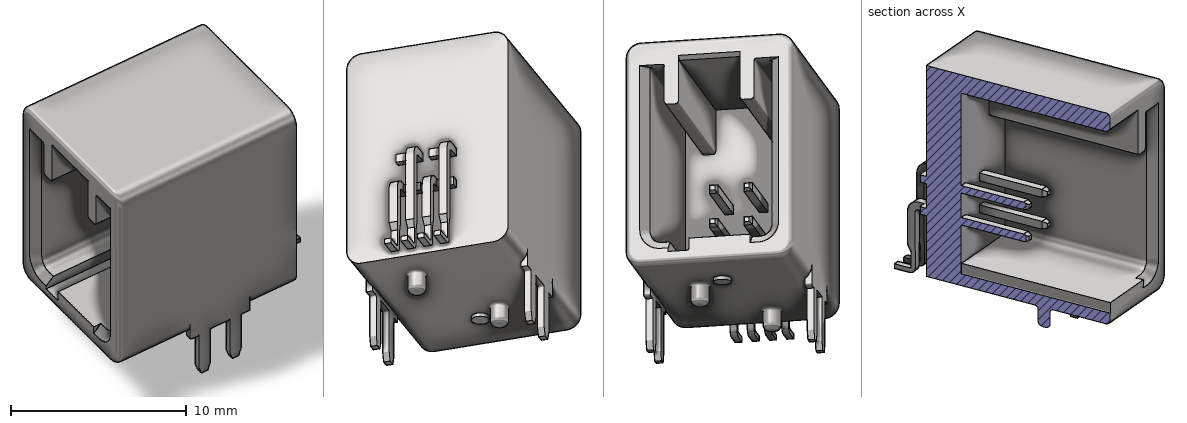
import cadquery as cq


OVERALL_HEIGHT = 16.6
OVERALL_DEPTH = 14.75

WIDTH = 9.8
DEPTH = 12.3
HEIGHT = 13.31
CORNER_RADIUS = 0.9
FRONT_ROUND = 0.3

CAVITY_WIDTH = 7.1
CAVITY_DEPTH = 9.96
FLOOR_Z = 1.41
CEILING_Z = 11.89
CAVITY_LOWER_RADIUS = 0.7
CAVITY_UPPER_RADIUS = 0.15
MOUTH_CHAMFER = 0.5
PLAIN_FLOOR_WIDTH = 4.78

RECESS_WIDTH = 3.59
RECESS_INNER_Z = 12.12
RECESS_LEAD = 0.23
RIB_WIDTH = 0.83
RIB_BOTTOM_Z = 9.48
RIB_TIP_RADIUS = 0.2
RIB_ROOT_RADIUS = 0.13

KEYWAY_WIDTH = 1.21
KEYWAY_LEFT = -PLAIN_FLOOR_WIDTH / 2
KEYWAY_Z = 0.7
KEYWAY_RADIUS = 0.13

PLATE_THICKNESS = 0.4
PLATE_FRONT_Y = 4.95
PLATE_BACK_Y = 9.06
PLATE_BOTTOM_Z = -0.17
PLATE_FRONT_STEP_Z = -0.28
PLATE_RADIUS = 0.1
LEG_CENTERS_Y = (5.95, 8.08)
LEG_WIDTH = 0.78
LEG_TIP_WIDTH = 0.45
LEG_TIP_LENGTH = 0.51
LEG_BOTTOM_Z = HEIGHT - OVERALL_HEIGHT

PEG_CENTERS = ((-1.5, 4.43), (1.5, 9.95))
PEG_DIAMETER = 1.03
PEG_LENGTH = 1.25
PEG_TIP_RADIUS = 0.3
PEG_ROOT_RADIUS = 0.17
PAD_CENTER = (0, 3.5)
PAD_DIAMETER = 1.03
PAD_HEIGHT = 0.22

PIN_PITCH = 2.01
PIN_SIZE = 0.5
PIN_ROWS_Z = (4.07, 6.08)
PIN_FRONT_Y = 5.48
PIN_TIP_SIZE = 0.27
PIN_TIP_LENGTH = 0.3
LEAD_OFFSET = PIN_PITCH / 4
WEB_WIDTH = PIN_PITCH / 2 + PIN_SIZE
WEB_LENGTH = 0.43
LEAD_BACK_Y = 13.85
BEND_INNER_RADIUS = 0.25
FOOT_THICKNESS = 0.3
FOOT_WIDTH = 0.4
FOOT_BOTTOM_Z = -0.3
FOOT_INNER_RADIUS = 0.1
TAPER_TOP_Z = 1.48
TAPER_BOTTOM_Z = 1.03


def box(x_range, y_range, z_range):
    """Block between two limits on each axis."""
    lows, highs = zip(x_range, y_range, z_range)
    sizes = [high - low for low, high in zip(lows, highs)]
    return cq.Workplane("XY").box(*sizes, centered=False).translate(lows)


def make_housing():
    """Outer block with rounded long edges and a rounded front rim."""
    half = WIDTH / 2
    block = box((-half, half), (0, DEPTH), (0, HEIGHT))
    return block.edges("|Y").fillet(CORNER_RADIUS).faces("<Y").edges().fillet(FRONT_ROUND)


def make_mouth():
    """Chamfered lead-in on the side walls and lower corners, left flat under the ceiling."""
    width = CAVITY_WIDTH + 2 * MOUTH_CHAMFER
    bottom = FLOOR_Z - MOUTH_CHAMFER
    top = CEILING_Z + CAVITY_LOWER_RADIUS + 2 * MOUTH_CHAMFER
    outline = (
        cq.Sketch()
        .rect(width, top - bottom)
        .vertices()
        .fillet(CAVITY_LOWER_RADIUS + MOUTH_CHAMFER)
    )
    center_z = (top + bottom) / 2
    mouth = cq.Workplane("XZ", origin=(0, 0, center_z)).placeSketch(outline)
    mouth = mouth.extrude(-MOUTH_CHAMFER, taper=45)
    depth_range = (0, MOUTH_CHAMFER)
    mouth = mouth.intersect(box((-width / 2, width / 2), depth_range, (bottom, CEILING_Z)))
    plain_half = PLAIN_FLOOR_WIDTH / 2
    return mouth.cut(box((-plain_half, plain_half), depth_range, (bottom, FLOOR_Z)))


def make_ribs():
    """Two ribs that flank the latch recess."""
    inner = RECESS_WIDTH / 2
    rib = box((inner, inner + RIB_WIDTH), (0, CAVITY_DEPTH), (RIB_BOTTOM_Z, CEILING_Z))
    rib = rib.edges("|Y and <Z").fillet(RIB_TIP_RADIUS)
    return rib.union(rib.mirror("YZ"))


def make_recess():
    """Latch recess above the ceiling, with a sloped lead-in at the mouth."""
    half = RECESS_WIDTH / 2
    profile = [
        (0, RIB_BOTTOM_Z),
        (0, RECESS_INNER_Z + RECESS_LEAD),
        (RECESS_LEAD, RECESS_INNER_Z),
        (CAVITY_DEPTH, RECESS_INNER_Z),
        (CAVITY_DEPTH, RIB_BOTTOM_Z),
    ]
    return cq.Workplane("YZ").polyline(profile).close().extrude(half, both=True)


def make_cavity():
    """All the space removed from the front of the housing."""
    half = CAVITY_WIDTH / 2
    cavity = box((-half, half), (0, CAVITY_DEPTH), (FLOOR_Z, CEILING_Z))
    cavity = cavity.edges("|Y and <Z").fillet(CAVITY_LOWER_RADIUS)
    cavity = cavity.edges("|Y and >Z").fillet(CAVITY_UPPER_RADIUS)
    cavity = cavity.union(make_mouth()).cut(make_ribs())
    rib_outer = RECESS_WIDTH / 2 + RIB_WIDTH
    for side in (-1, 1):
        root = cq.selectors.NearestToPointSelector((side * rib_outer, CAVITY_DEPTH / 2, CEILING_Z))
        cavity = cavity.edges(root).fillet(RIB_ROOT_RADIUS)
    keyway = box((KEYWAY_LEFT, KEYWAY_LEFT + KEYWAY_WIDTH), (0, CAVITY_DEPTH), (KEYWAY_Z, FLOOR_Z))
    keyway = keyway.edges("|Y and <Z and >X").fillet(KEYWAY_RADIUS)
    return cavity.union(make_recess()).union(keyway)


def make_leg_plate(x_start):
    """Side plate with two tapered legs."""
    plate = box(
        (x_start, x_start + PLATE_THICKNESS),
        (PLATE_FRONT_Y, PLATE_BACK_Y),
        (PLATE_BOTTOM_Z, CORNER_RADIUS),
    )
    step = box(
        (x_start, x_start + PLATE_THICKNESS),
        (PLATE_FRONT_Y, LEG_CENTERS_Y[0]),
        (PLATE_FRONT_STEP_Z, PLATE_BOTTOM_Z),
    )
    plate = plate.union(step)
    taper_z = LEG_BOTTOM_Z + LEG_TIP_LENGTH
    for center in LEG_CENTERS_Y:
        outline = [
            (center - LEG_WIDTH / 2, PLATE_BOTTOM_Z),
            (center - LEG_WIDTH / 2, taper_z),
            (center - LEG_TIP_WIDTH / 2, LEG_BOTTOM_Z),
            (center + LEG_TIP_WIDTH / 2, LEG_BOTTOM_Z),
            (center + LEG_WIDTH / 2, taper_z),
            (center + LEG_WIDTH / 2, PLATE_BOTTOM_Z),
        ]
        leg = cq.Workplane("YZ", origin=(x_start, 0, 0)).polyline(outline).close().extrude(PLATE_THICKNESS)
        plate = plate.union(leg)

    rounded_corners = [(PLATE_FRONT_Y, PLATE_FRONT_STEP_Z)]
    rounded_corners += [(center + LEG_WIDTH / 2, PLATE_BOTTOM_Z) for center in LEG_CENTERS_Y]
    for y, z in rounded_corners:
        corner = cq.selectors.NearestToPointSelector((x_start + PLATE_THICKNESS / 2, y, z))
        plate = plate.edges("|X").edges(corner).fillet(PLATE_RADIUS)
    return plate


def make_peg(x, y):
    """Round-tipped locating peg with a filleted root."""
    radius = PEG_DIAMETER / 2
    diagonal = 0.5 ** 0.5
    root = PEG_ROOT_RADIUS
    tip = PEG_TIP_RADIUS
    profile = (
        cq.Workplane("XZ")
        .moveTo(0, root)
        .lineTo(radius + root, root)
        .lineTo(radius + root, 0)
        .threePointArc((radius + root * (1 - diagonal), -root * (1 - diagonal)), (radius, -root))
        .lineTo(radius, tip - PEG_LENGTH)
        .threePointArc(
            (radius - tip * (1 - diagonal), tip * (1 - diagonal) - PEG_LENGTH),
            (radius - tip, -PEG_LENGTH),
        )
        .lineTo(0, -PEG_LENGTH)
        .close()
    )
    return profile.revolve(360, (0, 0), (0, 1)).translate((x, y, 0))


def make_lead(center_x, row_z):
    """Right-angle lead that leaves the housing, runs down and ends in a thin soldering foot."""
    front_y = LEAD_BACK_Y - PIN_SIZE
    top_z = row_z + PIN_SIZE / 2
    outline = [
        (DEPTH - PIN_SIZE, top_z),
        (LEAD_BACK_Y, top_z),
        (LEAD_BACK_Y, TAPER_TOP_Z),
        (front_y + FOOT_THICKNESS, TAPER_BOTTOM_Z),
        (front_y + FOOT_THICKNESS, FOOT_BOTTOM_Z + FOOT_THICKNESS),
        (OVERALL_DEPTH, FOOT_BOTTOM_Z + FOOT_THICKNESS),
        (OVERALL_DEPTH, FOOT_BOTTOM_Z),
        (front_y, FOOT_BOTTOM_Z),
        (front_y, top_z - PIN_SIZE),
        (DEPTH - PIN_SIZE, top_z - PIN_SIZE),
    ]
    rounds = [
        ((LEAD_BACK_Y, top_z), BEND_INNER_RADIUS + PIN_SIZE),
        ((front_y, top_z - PIN_SIZE), BEND_INNER_RADIUS),
        ((front_y + FOOT_THICKNESS, FOOT_BOTTOM_Z + FOOT_THICKNESS), FOOT_INNER_RADIUS),
        ((front_y, FOOT_BOTTOM_Z), FOOT_INNER_RADIUS + FOOT_THICKNESS),
    ]
    lead = cq.Workplane("YZ", origin=(center_x, 0, 0)).polyline(outline).close()
    lead = lead.extrude(PIN_SIZE / 2, both=True)
    for (y, z), radius in rounds:
        corner = cq.selectors.NearestToPointSelector((center_x, y, z))
        lead = lead.edges("|X").edges(corner).fillet(radius)

    half = PIN_SIZE / 2
    foot_half = FOOT_WIDTH / 2
    width_outline = [
        (center_x - half, top_z),
        (center_x + half, top_z),
        (center_x + half, TAPER_TOP_Z),
        (center_x + foot_half, TAPER_BOTTOM_Z),
        (center_x + foot_half, FOOT_BOTTOM_Z),
        (center_x - foot_half, FOOT_BOTTOM_Z),
        (center_x - foot_half, TAPER_BOTTOM_Z),
        (center_x - half, TAPER_TOP_Z),
    ]
    width_mask = cq.Workplane("XZ").polyline(width_outline).close().extrude(-OVERALL_DEPTH)
    return lead.intersect(width_mask)


def make_terminal(pin_x, lead_x, row_z):
    """Square contact pin, offset web behind the housing, and bent lead."""
    half = PIN_SIZE / 2
    z_range = (row_z - half, row_z + half)
    shank_y = PIN_FRONT_Y + PIN_TIP_LENGTH
    shank = box((pin_x - half, pin_x + half), (shank_y, DEPTH), z_range)
    tip = (
        cq.Workplane("XZ", origin=(pin_x, shank_y, row_z))
        .rect(PIN_SIZE, PIN_SIZE)
        .workplane(offset=PIN_TIP_LENGTH)
        .rect(PIN_TIP_SIZE, PIN_TIP_SIZE)
        .loft()
    )
    web_half = WEB_WIDTH / 2
    web = box((pin_x - web_half, pin_x + web_half), (DEPTH - PIN_SIZE, DEPTH + WEB_LENGTH), z_range)
    return shank.union(tip).union(web).union(make_lead(lead_x, row_z))


result = make_housing().cut(make_cavity())

for plate_x in (-WIDTH / 2, WIDTH / 2 - PLATE_THICKNESS):
    result = result.union(make_leg_plate(plate_x))

for peg_x, peg_y in PEG_CENTERS:
    result = result.union(make_peg(peg_x, peg_y))

pad = cq.Workplane("XY").center(*PAD_CENTER).circle(PAD_DIAMETER / 2).extrude(-PAD_HEIGHT)
result = result.union(pad)

lower_row_z, upper_row_z = PIN_ROWS_Z
for pin_column_x in (-PIN_PITCH / 2, PIN_PITCH / 2):
    result = result.union(make_terminal(pin_column_x, pin_column_x - LEAD_OFFSET, upper_row_z))
    result = result.union(make_terminal(pin_column_x, pin_column_x + LEAD_OFFSET, lower_row_z))